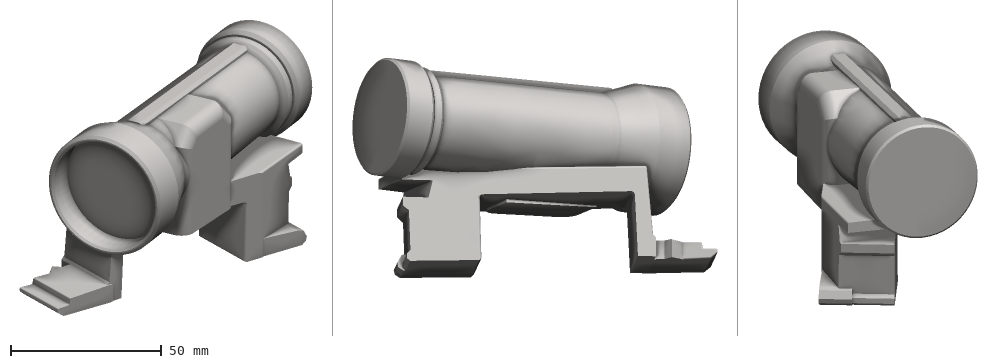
import cadquery as cq
import math


bell_radius = 21.4
bell_length = 12.5
bell_edge = 1.0
cone_end = 24.9
taper_start = 27.6
taper_start_radius = 17.0
taper_end = 90.7
taper_end_radius = 15.7
ring_start = 91.5
ring_end = 95.4
ring_radius = 18
ring_edge = 1.2
groove_radius = 17.5
cap_start = 96.0
cap_radius = 19.6
cap_edge = 1.2
cap_rear_edge = 0.7
tube_length = 106.5
bore_radius = 19.3
bore_depth = 9.6
bore_edge = 0.7

rail_front = 20.2
rail_rear = ring_start
rail_front_height = 19.0
rail_rear_height = 17.2
rail_width = 6.5
rail_edge = 1.1

pod_side = 17.4
pod_top = 16.8
pod_front = 24.8
pod_rear = 58.6
pod_ramp_front = 30.5
pod_ramp_rear = 51.2
pod_front_bottom = -21.7
pod_rear_bottom = -23.8
pod_round = 4.8

mount_angle = 22.5
mount_end = 97
mount_left_front = -29.2
mount_left_rear = -31.0
mount_right_front = -4.5
mount_right_rear = -5.7
mount_round = 0.7

arm_front = 8.1
arm_front_top = -11.7
arm_rear_top = -15.4
arm_front_underside = -20.6
arm_rear_underside = -23.2
arm_corner_round = 1.2

leg_front = 6
leg_rear_top = 12.2
leg_rear_bottom = 11.1
leg_cove = 0.8

foot_top = -36.0
foot_bottom = -42.6
foot_inner_end = 7.2
foot_step = -10.7
foot_step_drop = 2.3
foot_tip = -15.9
foot_tip_thickness = 1.4
foot_left = -31.1
foot_right = -4.2
foot_round = 0.5

block_side = 22.1
block_rear = 94.9
block_front_top = 63.9
block_front_bottom = 63.3
block_bottom_edge = 0.8
block_front_bottom_height = -45.6
block_bottom = -46.5
block_round = 1.0
ledge_rear = 89.6
ledge_top = -24.8
slot_top = -18.9
slot_end_top = 85.3
slot_end_bottom = 86.6

toe_front = 64.6
toe_left = -16.8

cut_reach = 119.7

turn = math.radians(mount_angle)
along = (math.sin(turn), math.cos(turn), 0)
across = (math.cos(turn), -math.sin(turn), 0)


def mount_prism(profile, left, right):
    """Extrude an (along, Z) profile across the mount between two offsets."""
    origin = tuple(left * component for component in across)
    plane = cq.Plane(origin=origin, xDir=along, normal=across)
    return cq.Workplane(plane).polyline(profile).close().extrude(right - left)


def mount_plan(outline):
    """Extrude an (along, across) outline downwards from the tube axis."""
    plane = cq.Plane(origin=(0, 0, 0), xDir=along, normal=(0, 0, -1))
    return cq.Workplane(plane).polyline(outline).close().extrude(cut_reach)


def round_near(body, distance, offset, height, radius):
    """Fillet the edge whose middle is nearest to a place on the mount."""
    x = distance * along[0] + offset * across[0]
    y = distance * along[1] + offset * across[1]
    edge = cq.selectors.NearestToPointSelector((x, y, height))
    return body.edges(edge).fillet(radius)


def revolve_about_tube_axis(half_profile):
    """Turn a (radius, Y) profile about the tube axis."""
    return cq.Workplane("XY").polyline(half_profile).close().revolve(360, (0, 0, 0), (0, 1, 0))


def make_tube():
    return revolve_about_tube_axis([
        (0, 0),
        (bell_radius - bell_edge, 0),
        (bell_radius, bell_edge),
        (bell_radius, bell_length),
        (taper_start_radius, cone_end),
        (taper_start_radius, taper_start),
        (taper_end_radius, taper_end),
        (ring_radius - ring_edge, ring_start),
        (ring_radius, ring_start + ring_edge),
        (ring_radius, ring_end),
        (groove_radius, ring_end),
        (groove_radius, cap_start),
        (cap_radius - cap_edge, cap_start),
        (cap_radius, cap_start + cap_edge),
        (cap_radius, tube_length - cap_rear_edge),
        (cap_radius - cap_rear_edge, tube_length),
        (0, tube_length),
    ])


def make_bore():
    return revolve_about_tube_axis([
        (0, 0),
        (bore_radius + bore_edge, 0),
        (bore_radius, bore_edge),
        (bore_radius, bore_depth),
        (0, bore_depth),
    ])


def make_rail():
    profile = [
        (rail_front, 0),
        (rail_front, rail_front_height),
        (rail_rear, rail_rear_height),
        (rail_rear, 0),
    ]
    rail = cq.Workplane("YZ").polyline(profile).close().extrude(rail_width / 2, both=True)
    return rail.faces(">Z").edges("not(|X)").chamfer(rail_edge)


def make_pod():
    profile = [
        (pod_front, pod_front_bottom),
        (pod_front, pod_top - (pod_ramp_front - pod_front)),
        (pod_ramp_front, pod_top),
        (pod_ramp_rear, pod_top),
        (pod_rear, pod_top - (pod_rear - pod_ramp_rear)),
        (pod_rear, pod_rear_bottom),
    ]
    pod = cq.Workplane("YZ").polyline(profile).close().extrude(pod_side)
    return pod.faces(">X").edges("not <Z").fillet(pod_round)


def make_arm():
    """Sloping arm with the front leg at one end and the rear block at the other."""
    cove_front = leg_front - leg_cove
    profile = [
        (arm_front, arm_front_top),
        (leg_front, foot_top + leg_cove),
        (cove_front, foot_top),
        (cove_front, foot_bottom),
        (leg_rear_bottom, foot_bottom),
        (leg_rear_top, arm_front_underside),
        (block_front_top, arm_rear_underside),
        (block_front_bottom, block_front_bottom_height + block_bottom_edge),
        (block_front_bottom + block_bottom_edge, block_front_bottom_height),
        (87.2, block_bottom),
        (88.2, -45.7),
        (88.2, -43.9),
        (87.1, -42.7),
        (87.6, -29.3),
        (ledge_rear, -27.8),
        (ledge_rear, ledge_top),
        (mount_end, ledge_top),
        (mount_end, arm_rear_top),
    ]
    tapered_sides = [
        (0, mount_left_front),
        (mount_end, mount_left_rear),
        (mount_end, mount_right_rear),
        (0, mount_right_front),
    ]
    arm = mount_prism(profile, foot_left, foot_right)
    arm = arm.intersect(mount_plan(tapered_sides))

    middle = (mount_left_front + mount_right_front) / 2
    block_middle_height = (arm_rear_underside + block_front_bottom_height) / 2
    arm_middle = (arm_front + mount_end) / 2
    arm_middle_top = (arm_front_top + arm_rear_top) / 2

    arm = round_near(arm, leg_rear_top, middle, arm_front_underside, arm_corner_round)
    for side in (mount_left_rear, mount_right_rear):
        arm = round_near(arm, block_front_bottom, side, block_middle_height, block_round)
    arm = round_near(arm, block_front_top, middle, arm_rear_underside, arm_corner_round)
    arm = round_near(arm, arm_front, middle, arm_front_top, mount_round)
    return round_near(arm, arm_middle, mount_left_rear, arm_middle_top, mount_round)


def trim_block(arm):
    """Cut the rear block square to the tube and open the slot in its rear."""
    outside = cq.Workplane("XY").box(cut_reach, 2 * cut_reach, cut_reach, centered=(False, True, True))
    behind = cq.Workplane("XY").box(cut_reach, cut_reach, cut_reach, centered=(True, False, True))
    slot_profile = [
        (slot_end_top, slot_top),
        (slot_end_bottom, ledge_top),
        (cut_reach, ledge_top),
        (cut_reach, slot_top),
    ]
    slot = cq.Workplane("YZ").polyline(slot_profile).close().extrude(cut_reach / 2, both=True)
    block = arm.cut(outside.translate((block_side, 0, 0)))
    block = block.cut(behind.translate((0, block_rear, 0)))
    block = block.cut(slot)

    side_middle = (block_side, 81.4, arm_rear_top)
    return block.edges(cq.selectors.NearestToPointSelector(side_middle)).fillet(mount_round)


def make_rear_toe():
    profile = [
        (toe_front, block_front_bottom_height),
        (toe_front, -38.7),
        (86.2, -40.7),
        (88.6, -41.3),
        (90.0, -43.9),
        (89.6, -45.5),
        (88.0, block_bottom),
    ]
    return mount_prism(profile, toe_left, mount_right_rear)


def make_front_foot():
    tip_top = foot_top - foot_step_drop
    profile = [
        (foot_inner_end, foot_top),
        (foot_step, foot_top),
        (foot_step - 0.5, tip_top),
        (foot_tip, tip_top),
        (foot_tip, tip_top - foot_tip_thickness),
        (-13.6, -41.6),
        (foot_inner_end, foot_bottom),
    ]
    foot = mount_prism(profile, foot_left, foot_right)
    foot = foot.edges(cq.selectors.ParallelDirSelector(cq.Vector(across))).fillet(foot_round)

    beyond_tip = foot_tip - foot_round
    point = (-0.5, -27.3)
    waist = (-4.4, -23.7)
    tip_corner = (beyond_tip, -25.3)
    left_of_foot = [
        (foot_inner_end, -24.7),
        (1.8, -24.7),
        point,
        waist,
        tip_corner,
        (beyond_tip, foot_left),
        (foot_inner_end, foot_left),
    ]
    foot = foot.cut(mount_plan(left_of_foot))
    for start, end in ((point, waist), (waist, (foot_step, waist[1]))):
        distance = (start[0] + end[0]) / 2
        offset = (start[1] + end[1]) / 2
        foot = round_near(foot, distance, offset, foot_top, foot_round)
    return foot


mount = trim_block(make_arm()).union(make_rear_toe()).union(make_front_foot())
result = make_tube().union(make_rail()).union(make_pod()).union(mount).cut(make_bore())